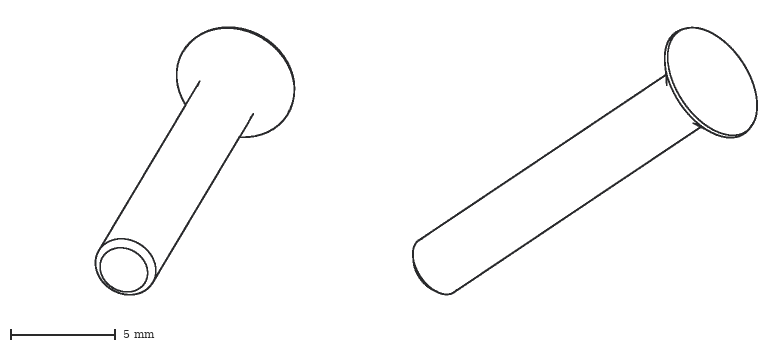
import cadquery as cq

total_length = 20.0
shank_radius = 3.0 / 2
head_radius = 5.85 / 2
rim_height = 0.18
rim_taper = 0.05
neck_fillet_radius = 0.35
tip_chamfer = 0.32

cone_height = head_radius - shank_radius
head_face_y = total_length / 2
tip_y = -total_length / 2
rim_y = head_face_y - rim_height
cone_end_y = rim_y - cone_height


def revolved_screw():
    """Turn the half profile (radius, y) about the Y axis."""
    profile = (
        cq.Workplane("XY")
        .moveTo(0, tip_y)
        .lineTo(shank_radius - tip_chamfer, tip_y)
        .lineTo(shank_radius, tip_y + tip_chamfer)
        .lineTo(shank_radius, cone_end_y)
        .lineTo(head_radius, rim_y)
        .lineTo(head_radius - rim_taper, head_face_y)
        .lineTo(0, head_face_y)
        .close()
    )
    return profile.revolve(360, (0, 0, 0), (0, 1, 0))


def neck_edge_selector():
    """Box around the circle where the cone meets the shank."""
    margin = 0.1
    reach = shank_radius + margin
    return cq.selectors.BoxSelector(
        (-reach, cone_end_y - margin, -reach),
        (reach, cone_end_y + margin, reach),
        boundingbox=True,
    )


screw = revolved_screw()
result = screw.edges(neck_edge_selector()).edges("%CIRCLE").fillet(neck_fillet_radius)